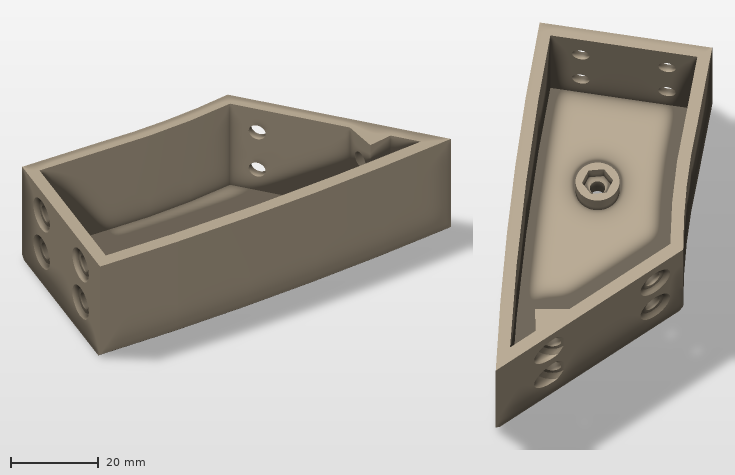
import cadquery as cq
import math

overall_length = 89.7
height = 27.0
wall = 3.0
floor_thickness = 3.0
bottom_chamfer = 0.9
end_width = 40.0
side = end_width * math.sin(math.radians(45))
straight = 14.2

left_corner = (-side, side)
left_bend = (-side + straight, side + straight)
left_mid = (-2.15, 54.9)
left_top = (8.0, 67.8)
right_top = (overall_length - side, 69.0)
right_mid = (38.8, 41.45)
right_bend = (straight - 0.2, straight)

wedge_tip = (44.7, 61.0)
wedge_face_length = 7.8
wedge_side_length = 5.8
wedge_overlap = 0.9
wedge_angle = math.radians(55)

screw_heights = (9.1, 20.1)
screw_diameter = 4.0
head_diameter = 8.4
seat_diameter = 6.2
head_depth = 1.0
screw_reach = 14.4
outside_clearance = 5.4
tilted_head_lift = 1.35
plain_screw_x = 16.0

nut_center = (7.0, 32.7)
pad_diameter = 10.05
pad_height = 4.4
nut_flats = 6.0
nut_depth = 3.0
nut_lead_in = 0.1
bolt_diameter = 3.5


def plan_outline():
    return (
        cq.Workplane("XY")
        .moveTo(0, 0)
        .lineTo(*right_bend)
        .threePointArc(right_mid, right_top)
        .lineTo(*left_top)
        .threePointArc(left_mid, left_bend)
        .lineTo(*left_corner)
        .close()
    )


def shell():
    outer = plan_outline().extrude(height)
    side_edges = [
        edge for edge in outer.faces("<Z").edges().vals()
        if not is_end_edge(edge)
    ]
    outer = outer.newObject(side_edges).chamfer(bottom_chamfer)
    cavity = plan_outline().offset2D(-wall, "intersection").extrude(height)
    return outer.cut(cavity.translate((0, 0, floor_thickness)))


def is_end_edge(edge):
    """True for the edge of the flat end face and the edge of the far wall."""
    middle = edge.Center()
    end_middles = (
        (left_corner[0] / 2, left_corner[1] / 2),
        ((left_top[0] + right_top[0]) / 2, (left_top[1] + right_top[1]) / 2),
    )
    return any(math.dist((middle.x, middle.y), point) < wall for point in end_middles)


def wedge():
    toward_wall = (math.cos(wedge_angle), math.sin(wedge_angle))
    along_face = (-math.sin(wedge_angle), math.cos(wedge_angle))
    reach = wedge_side_length + wedge_overlap
    face_end = (
        wedge_tip[0] + along_face[0] * (wedge_face_length + wedge_overlap),
        wedge_tip[1] + along_face[1] * (wedge_face_length + wedge_overlap),
    )
    wall_end = (wedge_tip[0] + toward_wall[0] * reach, wedge_tip[1] + toward_wall[1] * reach)
    return (
        cq.Workplane("XY")
        .polyline([wedge_tip, face_end, wall_end])
        .close()
        .extrude(height)
    )


def screw_cutter(x, y, z, direction):
    """Through hole with a conical head recess, entering the outer face along a plan direction."""
    surface = cq.Plane(origin=(x, y, z), xDir=(-direction[1], direction[0], 0), normal=(*direction, 0))
    hole = cq.Workplane(surface).circle(screw_diameter / 2).extrude(screw_reach)
    recess = (
        cq.Workplane(surface)
        .circle(head_diameter / 2)
        .workplane(offset=head_depth)
        .circle(seat_diameter / 2)
        .loft()
    )
    clearance = cq.Workplane(surface).circle(head_diameter / 2).extrude(-outside_clearance)
    return hole.union(recess).union(clearance)


def far_wall_y(x):
    slope = (right_top[1] - left_top[1]) / (right_top[0] - left_top[0])
    return left_top[1] + slope * (x - left_top[0])


def screw_positions():
    """Plan position and inward direction of every column of screws."""
    inward = (math.sqrt(0.5), math.sqrt(0.5))
    for fraction in (0.25, 0.75):
        yield (fraction * left_corner[0], fraction * left_corner[1], inward)

    far_length = math.dist(left_top, right_top)
    far_inward = (
        (right_top[1] - left_top[1]) / far_length,
        -(right_top[0] - left_top[0]) / far_length,
    )
    yield (plain_screw_x, far_wall_y(plain_screw_x), far_inward)

    tilt = (-math.cos(wedge_angle), -math.sin(wedge_angle))
    face_x = wedge_tip[0] - math.sin(wedge_angle) * wedge_face_length / 2
    face_y = wedge_tip[1] + math.cos(wedge_angle) * wedge_face_length / 2
    wall_distance = (far_wall_y(face_x) - face_y) * math.sin(wedge_angle)
    head_distance = wall_distance + tilted_head_lift
    yield (face_x - tilt[0] * head_distance, face_y - tilt[1] * head_distance, tilt)


def nut_pad():
    return (
        cq.Workplane("XY", origin=(*nut_center, 0))
        .circle(pad_diameter / 2)
        .extrude(floor_thickness + pad_height)
    )


def nut_cutter():
    top = floor_thickness + pad_height
    across_corners = nut_flats / math.cos(math.radians(30))
    mouth_corners = (nut_flats + 2 * nut_lead_in) / math.cos(math.radians(30))
    bolt = cq.Workplane("XY", origin=(*nut_center, 0)).circle(bolt_diameter / 2).extrude(top)
    pocket_bottom = cq.Workplane("XY", origin=(*nut_center, top - nut_depth))
    pocket = (
        pocket_bottom
        .transformed(rotate=(0, 0, 30))
        .polygon(6, across_corners)
        .workplane(offset=nut_depth)
        .polygon(6, mouth_corners)
        .loft()
    )
    return bolt.union(pocket)


result = shell().union(wedge()).union(nut_pad()).cut(nut_cutter())
for screw_x, screw_y, screw_direction in screw_positions():
    for screw_z in screw_heights:
        result = result.cut(screw_cutter(screw_x, screw_y, screw_z, screw_direction))